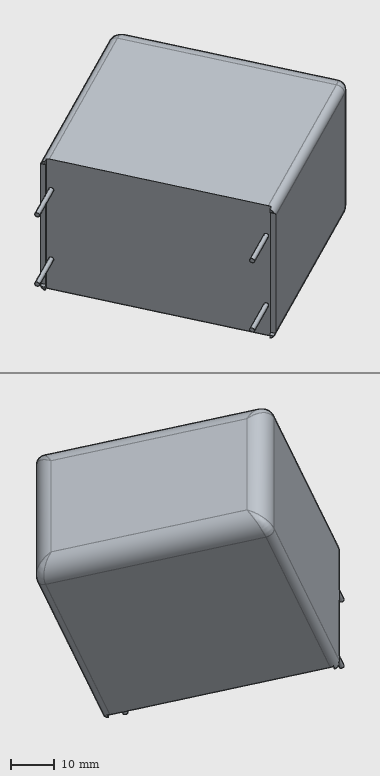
import cadquery as cq

case_width = 57.5
case_depth = 53.0
case_height = 38.0
rear_radius = 5.0
corner_radius = 2.0

rim_thickness = 1.3
rim_height = 0.5
foot_height = 1.0
foot_width = 1.0
foot_slope = foot_height - rim_height

pin_diameter = 1.2
pin_length = 10.0
pin_pitch_x = 52.5
pin_pitch_z = 20.3


def make_case():
    """Block with rounded long edges and a more generously rounded rear."""
    length = case_depth + foot_height
    middle_y = (case_depth - foot_height) / 2
    block = cq.Workplane("XY").box(case_width, length, case_height).translate((0, middle_y, 0))
    rounded_rear = block.faces(">Y").edges().fillet(rear_radius)
    return rounded_rear.edges("|Y").edges("<Y").fillet(corner_radius)


def cut_potting_face(case):
    """Clear the space between the two side rims down to the potting face."""
    opening = (
        cq.Workplane("XY")
        .box(case_width - 2 * rim_thickness, foot_height, case_height)
        .translate((0, -foot_height / 2, 0))
    )
    return case.cut(opening)


def cut_rims(case):
    """Lower each rim between its end feet, with a slope beside each foot."""
    half_tip = case_height / 2 - foot_width
    half_base = half_tip - foot_slope
    relief = (
        cq.Workplane("YZ")
        .moveTo(-foot_height, -half_tip)
        .lineTo(-rim_height, -half_base)
        .lineTo(-rim_height, half_base)
        .lineTo(-foot_height, half_tip)
        .close()
        .extrude(case_width / 2, both=True)
    )
    return case.cut(relief)


def make_pins():
    """Four straight round leads running forward from the potting face."""
    return (
        cq.Workplane("XZ")
        .rarray(pin_pitch_x, pin_pitch_z, 2, 2)
        .circle(pin_diameter / 2)
        .extrude(pin_length)
    )


result = cut_rims(cut_potting_face(make_case())).union(make_pins())